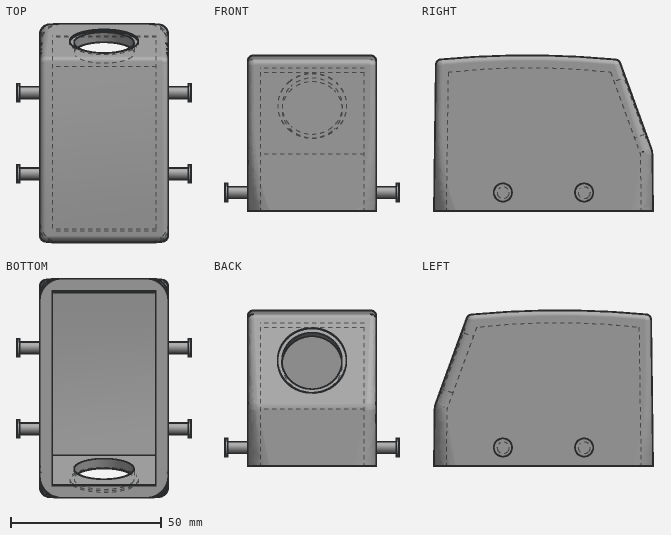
import cadquery as cq
import math

half_width = 21.4
half_length = 36.5
height = 51.9
plain_end_top_y = -35.85
knee_y = 36.3
knee_z = 19.8
slope_angle = 20.0
shoulder_z = 50.4
crown_y = -5.5
wall = 4.1

slope_run = math.tan(math.radians(slope_angle))
shoulder_y = knee_y - (shoulder_z - knee_z) * slope_run

bottom_corner_radius = 7.3
knee_corner_radius = 3.3
top_corner_radius = 2.0
top_edge_radius = 1.9
knee_radius = 5.85
plain_corner_sections = [
    (0, bottom_corner_radius),
    (19.7, 2.7),
    (32.1, 2.1),
    (height, top_corner_radius),
]

entry_y = 30.65
entry_radius = 10.0
entry_recess_radius = 11.45
entry_recess_depth = 0.55
entry_cut_depth = 2 * wall

peg_span = 58.0
peg_y = 13.5
peg_z = 6.2
peg_radius = 2.0
peg_head_radius = 3.03
peg_head_thickness = 0.95

cut_margin = 2.2


def plain_end_y(z):
    return -half_length + (plain_end_top_y + half_length) * z / shoulder_z


def lower_end_y(z):
    return half_length + (knee_y - half_length) * z / knee_z


def slope_y(z):
    return knee_y - (z - knee_z) * slope_run


def make_block():
    """Side outline extruded across the full width."""
    return (
        cq.Workplane("YZ")
        .moveTo(-half_length, 0)
        .lineTo(half_length, 0)
        .lineTo(knee_y, knee_z)
        .lineTo(shoulder_y, shoulder_z)
        .threePointArc((crown_y, height), (plain_end_top_y, shoulder_z))
        .close()
        .extrude(half_width, both=True)
    )


def corner_section(y, z, radius, end):
    """Horizontal piece outside one rounded corner; end is +1 or -1 along Y."""
    side_x = half_width
    center_x = side_x - radius
    center_y = y - end * radius
    reach = radius * math.sqrt(0.5)
    outer_x = side_x + cut_margin
    outer_y = y + end * cut_margin
    return (
        cq.Workplane("XY", origin=(0, 0, z))
        .moveTo(side_x, center_y)
        .threePointArc((center_x + reach, center_y + end * reach), (center_x, y))
        .lineTo(center_x, outer_y)
        .lineTo(outer_x, outer_y)
        .lineTo(outer_x, center_y)
        .close()
        .val()
    )


def corner_cutter(sections, face_y, end):
    wires = [corner_section(face_y(z), z, radius, end) for z, radius in sections]
    return cq.Workplane(cq.Solid.makeLoft(wires, len(wires) == 2))


def round_corners(body):
    """Round the end corners with a radius that shrinks upward."""
    lower_sections = [(0, bottom_corner_radius), (knee_z, knee_corner_radius)]
    slope_sections = [(knee_z, knee_corner_radius), (height, top_corner_radius)]
    cutters = [
        corner_cutter(plain_corner_sections, plain_end_y, -1),
        corner_cutter(lower_sections, lower_end_y, 1),
        corner_cutter(slope_sections, slope_y, 1),
    ]
    for cutter in cutters:
        body = body.cut(cutter).cut(cutter.mirror("YZ"))
    return body


def make_cavity():
    """Inner space, parallel to the flat outer walls."""
    slope_shift = wall / math.cos(math.radians(slope_angle))
    inner_knee_y = knee_y - wall
    inner_knee_z = knee_z - (slope_shift - wall) / slope_run
    inner_shoulder_z = shoulder_z - wall
    inner_plain_y = plain_end_top_y + wall
    return (
        cq.Workplane("YZ")
        .moveTo(wall - half_length, 0)
        .lineTo(half_length - wall, 0)
        .lineTo(inner_knee_y, inner_knee_z)
        .lineTo(slope_y(inner_shoulder_z) - slope_shift, inner_shoulder_z)
        .threePointArc((crown_y, height - wall), (inner_plain_y, inner_shoulder_z))
        .close()
        .extrude(half_width - wall, both=True)
    )


def make_entry():
    """Round hole with a shallow recess around its mouth."""
    entry_z = knee_z + (knee_y - entry_y) / slope_run
    angle = math.radians(slope_angle)
    mouth = cq.Workplane(
        cq.Plane(
            origin=(0, entry_y, entry_z),
            xDir=(1, 0, 0),
            normal=(0, math.cos(angle), math.sin(angle)),
        )
    )
    recess = mouth.circle(entry_recess_radius).extrude(-entry_recess_depth)
    return mouth.circle(entry_radius).extrude(-entry_cut_depth).union(recess)


def make_peg(y):
    """Headed peg on the +X side, rooted inside the wall."""
    root_x = half_width - wall / 2
    head_x = peg_span / 2 - peg_head_thickness
    stem = (
        cq.Workplane("YZ", origin=(root_x, y, peg_z))
        .circle(peg_radius)
        .extrude(head_x - root_x)
    )
    head = (
        cq.Workplane("YZ", origin=(head_x, y, peg_z))
        .circle(peg_head_radius)
        .extrude(peg_head_thickness)
    )
    return stem.union(head)


hood = round_corners(make_block())
knee_point = (0, knee_y, knee_z)
hood = hood.edges(cq.NearestToPointSelector(knee_point)).fillet(knee_radius)
hood = hood.faces(">Z").edges().fillet(top_edge_radius)
hood = hood.cut(make_cavity()).cut(make_entry())
for y in (-peg_y, peg_y):
    peg = make_peg(y)
    hood = hood.union(peg).union(peg.mirror("YZ"))

result = hood